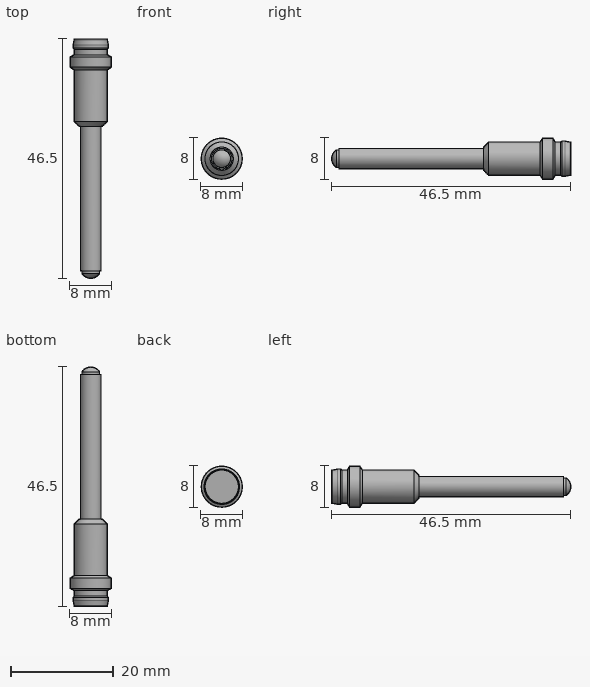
import cadquery as cq

total_length = 46.5

barrel_diameter = 6.5
rear_face_diameter = 6.45
retaining_ring_diameter = 6.9
collar_diameter = 8.0
shoulder_end_diameter = 4.5
pin_diameter = 4.0
tip_diameter = 3.45

rear_edge_length = 0.2
ring_start = 1.15
ring_end = 1.7
ring_relief_end = 2.0

collar_start = 3.05
collar_end = 6.0
collar_rear_bevel_length = 0.4
collar_front_bevel_length = 0.5

barrel_end = 16.0
shoulder_length = 0.98

dome_height = 0.95
tip_neck_length = 0.5
dome_start = total_length - dome_height
pin_end = dome_start - tip_neck_length

tip_radius = tip_diameter / 2
dome_radius = (tip_radius**2 + dome_height**2) / (2 * dome_height)
dome_mid_height = dome_height / 2
dome_mid_radius = (dome_mid_height * (2 * dome_radius - dome_mid_height)) ** 0.5


def profile_point(diameter, station):
    """Point on the half profile at a diameter and a distance from the rear face."""
    return (diameter / 2, -station)


outer_outline = [
    profile_point(rear_face_diameter, 0),
    profile_point(barrel_diameter, rear_edge_length),
    profile_point(retaining_ring_diameter, ring_start),
    profile_point(retaining_ring_diameter, ring_end),
    profile_point(barrel_diameter, ring_relief_end),
    profile_point(barrel_diameter, collar_start),
    profile_point(collar_diameter, collar_start + collar_rear_bevel_length),
    profile_point(collar_diameter, collar_end - collar_front_bevel_length),
    profile_point(barrel_diameter, collar_end),
    profile_point(barrel_diameter, barrel_end),
    profile_point(shoulder_end_diameter, barrel_end + shoulder_length),
    profile_point(pin_diameter, barrel_end + shoulder_length),
    profile_point(pin_diameter, pin_end),
    profile_point(tip_diameter, pin_end),
    profile_point(tip_diameter, dome_start),
]

half_profile = (
    cq.Workplane("XY")
    .polyline([(0, 0)] + outer_outline)
    .threePointArc(
        profile_point(2 * dome_mid_radius, total_length - dome_mid_height),
        profile_point(0, total_length),
    )
    .close()
)

result = half_profile.revolve(360, (0, 0, 0), (0, 1, 0))